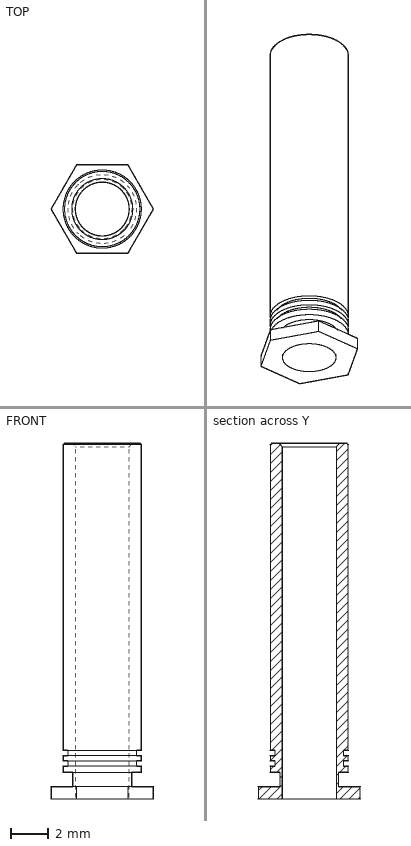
import cadquery as cq
import math

total_length = 19.05
across_flats = 4.75
head_sides = 6
across_corners = across_flats / math.cos(math.pi / head_sides)

body_diameter = 4.19
groove_diameter = 3.68
neck_diameter = 3.17
bore_diameter = 2.87

head_height = 0.66
neck_height = 0.76
bottom_collar_height = 0.34
groove_width = 0.28
ring_width = 0.28
groove_count = 2

outer_chamfer = 0.08
bore_chamfer = 0.2

body_bottom = head_height + neck_height
first_groove_bottom = body_bottom + bottom_collar_height
groove_pitch = groove_width + ring_width


def cylinder(diameter, bottom, height):
    """Upright cylinder on the part axis."""
    return cq.Workplane("XY").workplane(offset=bottom).circle(diameter / 2).extrude(height)


def hex_head():
    """Hexagonal head with two corners on the X axis."""
    return cq.Workplane("XY").polygon(head_sides, across_corners).extrude(head_height)


def neck():
    """Narrow round waist between the head and the barrel."""
    return cylinder(neck_diameter, head_height, neck_height)


def body():
    """Long barrel with its top outer edge chamfered."""
    barrel = cylinder(body_diameter, body_bottom, total_length - body_bottom)
    return barrel.faces(">Z").edges().chamfer(outer_chamfer)


def groove(bottom):
    """Ring of material to remove around the barrel."""
    core = cylinder(groove_diameter, bottom, groove_width)
    return cylinder(across_corners, bottom, groove_width).cut(core)


def bore():
    """Through hole with a conical lead-in at the top."""
    hole = cylinder(bore_diameter, 0, total_length)
    lead_in = cq.Solid.makeCone(
        bore_diameter / 2,
        bore_diameter / 2 + bore_chamfer,
        bore_chamfer,
        pnt=cq.Vector(0, 0, total_length - bore_chamfer),
    )
    return hole.union(cq.Workplane(lead_in))


result = hex_head().union(neck()).union(body())
for index in range(groove_count):
    result = result.cut(groove(first_groove_bottom + index * groove_pitch))
result = result.cut(bore())